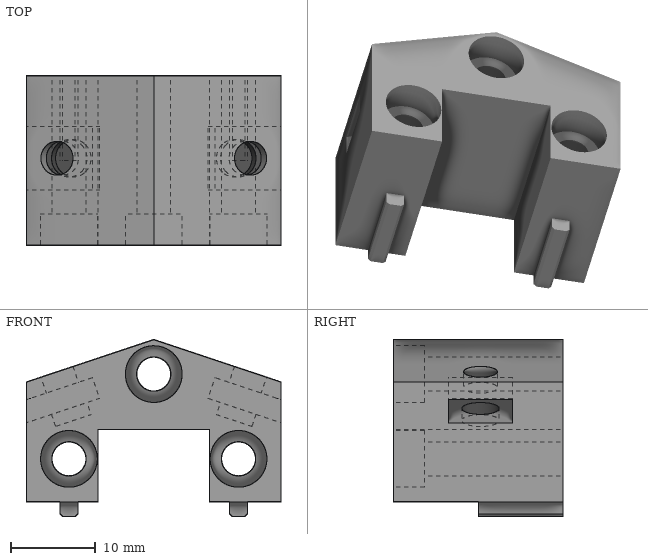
import cadquery as cq
import math

width = 30.0
depth = 20.0
tab_height = 1.75
peak_height = 20.88 - tab_height
eave_height = 14.13
channel_width = 13.1
channel_height = 8.52

bore_diameter = 4.0
counterbore_diameter = 6.7
counterbore_depth = 3.7
bore_offset = 10.0
lower_bore_height = 5.07
upper_bore_height = lower_bore_height + bore_offset

tab_width = 2.13
tab_chamfer = 0.33

screw_diameter = 4.0
screw_offset = 11.4
screw_y = 0.27
slot_width = 7.5
slot_roof_cover = 1.98
slot_thickness = 2.58
slot_reach = slot_width / 2
relief_diameter = 4.4
relief_depth = 1.5

roof_angle = math.degrees(math.atan2(peak_height - eave_height, width / 2))
front_y = -depth / 2


def make_body():
    block = (
        cq.Workplane("XZ", origin=(0, depth / 2, 0))
        .moveTo(-width / 2, 0)
        .lineTo(-width / 2, eave_height)
        .lineTo(0, peak_height)
        .lineTo(width / 2, eave_height)
        .lineTo(width / 2, 0)
        .close()
        .extrude(depth)
    )
    channel = cq.Workplane("XY").box(channel_width, depth, channel_height, centered=(True, True, False))
    return block.cut(channel)


def make_bore(x, z):
    front = cq.Workplane("XZ", origin=(x, front_y, z))
    bore = front.circle(bore_diameter / 2).extrude(-depth)
    counterbore = front.circle(counterbore_diameter / 2).extrude(-counterbore_depth)
    return bore.union(counterbore)


def make_tab(x):
    tab = cq.Workplane("XY").box(tab_width, depth / 2, tab_height, centered=(True, False, False))
    tab = tab.edges("|Y and <Z").chamfer(tab_chamfer)
    return tab.translate((x, 0, -tab_height))


def make_nut_trap():
    roof_z = peak_height - screw_offset * math.tan(math.radians(roof_angle))
    slot_floor = slot_roof_cover + slot_thickness
    screw = cq.Workplane("XY").circle(screw_diameter / 2).extrude(-slot_floor)
    relief = (
        cq.Workplane("XY", origin=(0, 0, -slot_floor))
        .circle(relief_diameter / 2)
        .extrude(-relief_depth)
    )
    slot_start = -width / 2
    slot = cq.Workplane("XY").box(
        slot_reach - slot_start, slot_width, slot_thickness, centered=(False, True, False)
    ).translate((slot_start, 0, -slot_floor))
    trap = screw.union(slot).union(relief)
    trap = trap.rotate((0, 0, 0), (0, 1, 0), -roof_angle)
    return trap.translate((-screw_offset, screw_y, roof_z))


result = make_body()

for bore_x, bore_z in (
    (-bore_offset, lower_bore_height),
    (0, upper_bore_height),
    (bore_offset, lower_bore_height),
):
    result = result.cut(make_bore(bore_x, bore_z))

for tab_x in (-bore_offset, bore_offset):
    result = result.union(make_tab(tab_x))

left_trap = make_nut_trap()
result = result.cut(left_trap).cut(left_trap.mirror("YZ"))